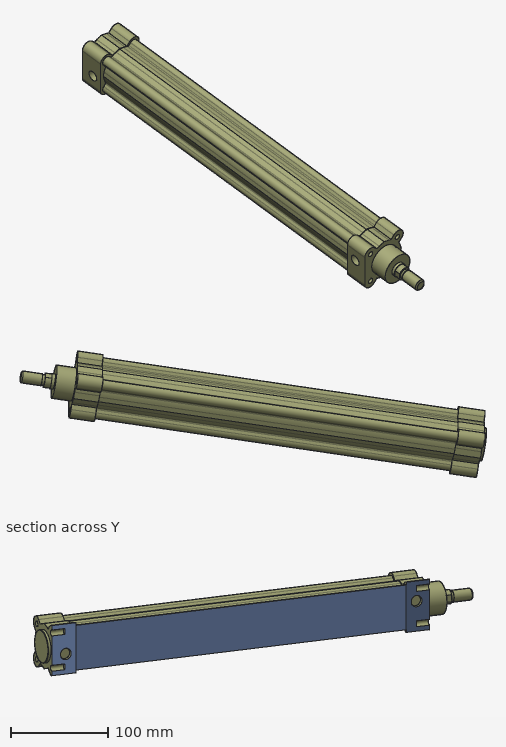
import cadquery as cq
import math

BOSS_LENGTH = 3.5
REAR_CAP_END = 31.0
FRONT_CAP_START = 402.0
FRONT_CAP_END = 428.0
COLLAR_END = 448.0
FLATS_START = 451.5
FLATS_END = 458.5
THREAD_START = 461.5
OVERALL_LENGTH = 483.0

CAP_WIDTH = 54.0
HALF_WIDTH = CAP_WIDTH / 2
TIE_OFFSET = 19.0
LOBE_ANGLES = (45, 135, 225, 315)
RIDGE_ANGLES = (0, 90, 180, 270)

CAP_LOBE_RADIUS = 7.5
CAP_LOBE_OFFSET = HALF_WIDTH - CAP_LOBE_RADIUS
CAP_BODY_RADIUS = 23.0
CAP_RIDGE_HALF_WIDTH = 7.0
COLLAR_DIAMETER = 35.0
BOSS_CHAMFER = 0.5
TIE_HOLE_DIAMETER = 6.0
TIE_HOLE_DEPTH = 14.5
PORT_DIAMETER = 11.5
PORT_DEPTH = 11.5
PORT_OFFSET = 5.5
REAR_PORT_X = 19.5
FRONT_PORT_X = 413.5

BARREL_LOBE_RADIUS = 5.5
BARREL_BODY_RADIUS = 22.5
BARREL_RIDGE_HALF_WIDTH = 5.05
BARREL_NECK_FILLET = 1.5

ROD_DIAMETER = 16.0
NECK_DIAMETER = 15.0
FLATS_WIDTH = 13.0
UNDERCUT_DIAMETER = 11.0
THREAD_DIAMETER = 12.5
THREAD_CHAMFER = 1.5


def cross_section(x, angle=0):
    """Workplane across the cylinder axis at x, turned about that axis."""
    return cq.Workplane("YZ", origin=(x, 0, 0)).transformed(rotate=(0, 0, angle))


def cylinder(x_start, x_end, diameter):
    return cross_section(x_start).circle(diameter / 2).extrude(x_end - x_start)


def ridged_bar(x_start, x_end, radius, ridge_half_width):
    """Round bar with a low ridge on each side, formed by two planes tangent to the round."""
    length = x_end - x_start
    tangent_height = math.sqrt(radius**2 - ridge_half_width**2)
    ridge_height = radius**2 / tangent_height
    kite = [
        (0, 0),
        (tangent_height, ridge_half_width),
        (ridge_height, 0),
        (tangent_height, -ridge_half_width),
    ]
    bar = cylinder(x_start, x_end, 2 * radius)
    for angle in RIDGE_ANGLES:
        bar = bar.union(cross_section(x_start, angle).polyline(kite).close().extrude(length))
    return bar


def add_lobes(bar, x_start, x_end, lobe_offset, lobe_radius):
    """Add four diagonal round-ended lobes, with axes at lobe_offset in both Y and Z."""
    length = x_end - x_start
    reach = math.hypot(lobe_offset, lobe_offset)
    for angle in LOBE_ANGLES:
        web = cross_section(x_start, angle).center(reach / 2, 0).rect(reach, 2 * lobe_radius).extrude(length)
        tip = cross_section(x_start, angle).center(reach, 0).circle(lobe_radius).extrude(length)
        bar = bar.union(web).union(tip)
    return bar


def neck_points(x, body_radius, lobe_radius):
    """Points where the sides of the lobes meet the round body."""
    half_angle = math.degrees(math.asin(lobe_radius / body_radius))
    angles = [math.radians(lobe + side * half_angle) for lobe in LOBE_ANGLES for side in (-1, 1)]
    return [(x, body_radius * math.cos(a), body_radius * math.sin(a)) for a in angles]


def make_cap(x_start, x_end, port_x, port_z):
    """End cap body: lobed, squared off on -Y, with an air port in the flat side."""
    length = x_end - x_start
    cap = ridged_bar(x_start, x_end, CAP_BODY_RADIUS, CAP_RIDGE_HALF_WIDTH)
    cap = add_lobes(cap, x_start, x_end, CAP_LOBE_OFFSET, CAP_LOBE_RADIUS)
    flat_side = cq.Workplane("XY", origin=(x_start, -HALF_WIDTH, 0)).box(
        length, HALF_WIDTH, 2 * CAP_LOBE_OFFSET, centered=(False, False, True)
    )
    port_plane = cq.Workplane("XZ", origin=(port_x, -HALF_WIDTH, port_z))
    port = port_plane.circle(PORT_DIAMETER / 2).extrude(-PORT_DEPTH)
    return cap.union(flat_side).cut(port)


def tie_holes(x_start):
    """Four blind tie-bolt holes, as a cutter from x_start towards +X."""
    return (
        cross_section(x_start)
        .rect(2 * TIE_OFFSET, 2 * TIE_OFFSET, forConstruction=True)
        .vertices()
        .circle(TIE_HOLE_DIAMETER / 2)
        .extrude(TIE_HOLE_DEPTH)
    )


def make_rear_cap():
    boss = cylinder(0, BOSS_LENGTH, COLLAR_DIAMETER).faces("<X").chamfer(BOSS_CHAMFER)
    cap = make_cap(BOSS_LENGTH, REAR_CAP_END, REAR_PORT_X, -PORT_OFFSET)
    return cap.cut(tie_holes(BOSS_LENGTH)).union(boss)


def make_front_cap():
    collar = cylinder(FRONT_CAP_END, COLLAR_END, COLLAR_DIAMETER)
    cap = make_cap(FRONT_CAP_START, FRONT_CAP_END, FRONT_PORT_X, PORT_OFFSET)
    return cap.cut(tie_holes(FRONT_CAP_END - TIE_HOLE_DEPTH)).union(collar)


def make_barrel():
    bar = ridged_bar(REAR_CAP_END, FRONT_CAP_START, BARREL_BODY_RADIUS, BARREL_RIDGE_HALF_WIDTH)
    bar = add_lobes(bar, REAR_CAP_END, FRONT_CAP_START, TIE_OFFSET, BARREL_LOBE_RADIUS)
    middle = (REAR_CAP_END + FRONT_CAP_START) / 2
    for point in neck_points(middle, BARREL_BODY_RADIUS, BARREL_LOBE_RADIUS):
        neck_edge = cq.selectors.NearestToPointSelector(point)
        bar = bar.edges("|X").edges(neck_edge).fillet(BARREL_NECK_FILLET)
    return bar


def make_rod():
    """Piston rod with wrench flats facing -Y and +Y, an undercut and a threaded end."""
    rod = cylinder(COLLAR_END, FLATS_START, ROD_DIAMETER)
    neck = cylinder(FLATS_START, FLATS_END, NECK_DIAMETER)
    flats_length = FLATS_END - FLATS_START
    between_flats = cross_section(FLATS_START).rect(FLATS_WIDTH, NECK_DIAMETER).extrude(flats_length)
    undercut = cylinder(FLATS_END, THREAD_START, UNDERCUT_DIAMETER)
    thread = cylinder(THREAD_START, OVERALL_LENGTH, THREAD_DIAMETER).faces(">X").chamfer(THREAD_CHAMFER)
    return rod.union(neck.intersect(between_flats)).union(undercut).union(thread)


rear_cap = make_rear_cap()
barrel = make_barrel()
front_cap = make_front_cap()
piston_rod = make_rod()

result = cq.Compound.makeCompound([rear_cap.val(), barrel.val(), front_cap.val(), piston_rod.val()])